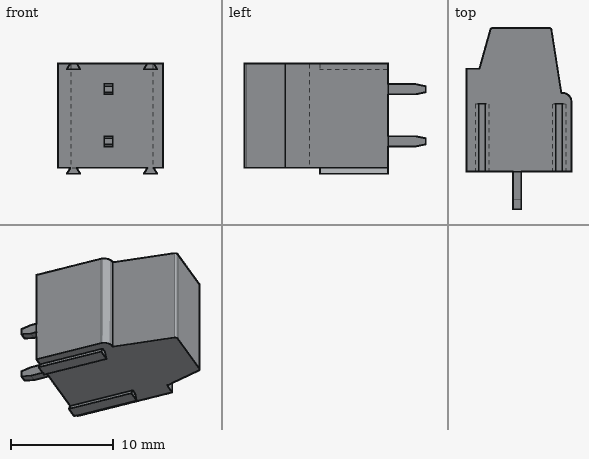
import cadquery as cq

overall_depth = 17.7
body_width = 10.25
body_height = 10.18
body_depth = 14.02
shoulder_depth = 10.04
shoulder_width = 1.25
nose_left = 2.37
nose_right = 8.27
nose_radius = 0.27
step_x = 9.25
step_depth = 7.68
step_corner_depth = 6.85
step_arc_mid = (9.98, 7.43)

dovetail_centers = (1.52, 9.03)
dovetail_height = 0.58
dovetail_length = 6.64
dovetail_narrow = 0.64
dovetail_wide = 1.33

pin_x = 4.94
pin_width = 0.81
pin_height = 1.03
pin_length = overall_depth - body_depth
pin_taper_length = 1.01
pin_tip_height = 0.6
pin_pitch = 5.08
lower_pin_z = 2.58


def make_housing():
    """Extrude the stepped outline, with small rounds on the nose."""
    housing = (
        cq.Workplane("XY")
        .lineTo(0, shoulder_depth)
        .lineTo(shoulder_width, shoulder_depth)
        .lineTo(nose_left, body_depth)
        .lineTo(nose_right, body_depth)
        .lineTo(step_x, step_depth)
        .threePointArc(step_arc_mid, (body_width, step_corner_depth))
        .lineTo(body_width, 0)
        .close()
        .extrude(body_height)
    )
    nose_edges = housing.faces(">Y").edges("|Z")
    return housing.newObject(nose_edges.vals()).fillet(nose_radius)


def make_dovetail(center_x, base_z):
    """Dovetail bar, wide at base_z and narrow at its top, starting at the mounting face."""
    top_z = base_z + dovetail_height
    return (
        cq.Workplane("XZ")
        .polyline([
            (center_x - dovetail_wide / 2, base_z),
            (center_x + dovetail_wide / 2, base_z),
            (center_x + dovetail_narrow / 2, top_z),
            (center_x - dovetail_narrow / 2, top_z),
        ])
        .close()
        .extrude(-dovetail_length)
    )


def make_pin(center_z):
    """Rectangular pin whose upper and lower sides taper toward the tip."""
    taper_y = pin_taper_length - pin_length
    return (
        cq.Workplane("YZ", origin=(pin_x, 0, center_z))
        .polyline([
            (0, -pin_height / 2),
            (0, pin_height / 2),
            (taper_y, pin_height / 2),
            (-pin_length, pin_tip_height / 2),
            (-pin_length, -pin_tip_height / 2),
            (taper_y, -pin_height / 2),
        ])
        .close()
        .extrude(pin_width / 2, both=True)
    )


result = make_housing()
for dovetail_x in dovetail_centers:
    result = result.cut(make_dovetail(dovetail_x, body_height - dovetail_height))
    result = result.union(make_dovetail(dovetail_x, -dovetail_height))
for pin_z in (lower_pin_z, lower_pin_z + pin_pitch):
    result = result.union(make_pin(pin_z))